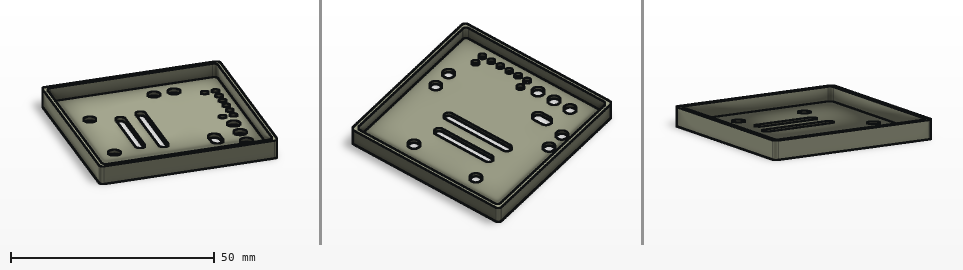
import cadquery as cq

width = 45.8
depth = 46.2
height = 4.9
wall = 1.0
floor = 1.2
corner_radius = 1.0

small_diameter = 1.95
small_pitch = 2.75
small_count = 6
small_row_left = -14.5
small_row_y = 19.3

large_diameter = 3.3
large_pitch = 4.95
large_count = 3
large_row_left = 3.8
large_row_y = 17.93

medium_diameter = 3.2
side_hole_x = 17.5
side_hole_ys = (9.55, 4.35)
front_hole_x = 9.55
front_hole_y = -14.95

long_slot_width = 2.5
long_slot_x = 0.35
upper_slot_length = 20.4
upper_slot_y = -2.13
lower_slot_length = 17.8
lower_slot_y = -7.75
short_slot_length = 5.5
short_slot_width = 3.1
short_slot_x = 10.15
short_slot_y = 11.15


def rounded_block(size_x, size_y, size_z, radius):
    """Block standing on Z = 0 with rounded vertical edges."""
    block = cq.Workplane("XY").box(size_x, size_y, size_z, centered=(True, True, False))
    return block.edges("|Z").fillet(radius)


def drill(body, points, diameter):
    """Cut round holes through the floor."""
    cutters = cq.Workplane("XY").pushPoints(points).circle(diameter / 2).extrude(height)
    return body.cut(cutters)


def cut_slot(body, x, y, length, slot_width):
    """Cut a round-ended slot through the floor."""
    cutter = cq.Workplane("XY").center(x, y).slot2D(length, slot_width).extrude(height)
    return body.cut(cutter)


tray = rounded_block(width, depth, height, corner_radius)
cavity = rounded_block(width - 2 * wall, depth - 2 * wall, height - floor, corner_radius)
result = tray.cut(cavity.translate((0, 0, floor)))

small_xs = [small_row_left + i * small_pitch for i in range(small_count)]
small_points = [(x, small_row_y) for x in small_xs]
small_points += [(x, small_row_y - small_pitch) for x in (small_xs[0], small_xs[-1])]
result = drill(result, small_points, small_diameter)

large_points = [(large_row_left + i * large_pitch, large_row_y) for i in range(large_count)]
result = drill(result, large_points, large_diameter)

medium_points = []
for side in (-1, 1):
    medium_points += [(side * side_hole_x, y) for y in side_hole_ys]
    medium_points.append((side * front_hole_x, front_hole_y))
result = drill(result, medium_points, medium_diameter)

result = cut_slot(result, long_slot_x, upper_slot_y, upper_slot_length, long_slot_width)
result = cut_slot(result, long_slot_x, lower_slot_y, lower_slot_length, long_slot_width)
result = cut_slot(result, short_slot_x, short_slot_y, short_slot_length, short_slot_width)